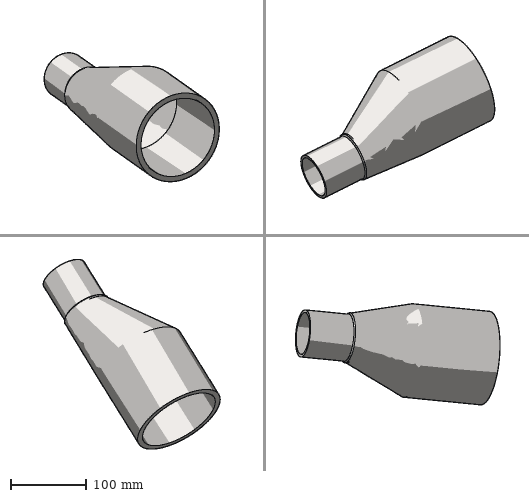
import cadquery as cq

total_length = 265.0
large_diameter = 125.0
large_wall = 7.5
small_diameter = 63.0
small_wall = 3.7
collar_diameter = 67.0

small_spigot_end = 60.7
collar_start = 62.3
cone_start = 64.7
cone_end = 157.5

large_bore = large_diameter - 2 * large_wall
small_bore = small_diameter - 2 * small_wall

small_axis_y = -(large_diameter - collar_diameter) / 2


def tapered_section(x_start, x_end, start_diameter, end_diameter, y_start, y_end):
    """Straight-sided solid between two circles normal to X."""
    return (
        cq.Workplane("YZ", origin=(x_start, 0, 0))
        .center(y_start, 0)
        .circle(start_diameter / 2)
        .workplane(offset=x_end - x_start)
        .center(y_end - y_start, 0)
        .circle(end_diameter / 2)
        .loft(ruled=True)
    )


def straight_section(x_start, x_end, diameter, axis_y):
    """Cylinder parallel to X."""
    return (
        cq.Workplane("YZ", origin=(x_start, 0, 0))
        .center(axis_y, 0)
        .circle(diameter / 2)
        .extrude(x_end - x_start)
    )


small_spigot = straight_section(0, small_spigot_end, small_diameter, small_axis_y)
collar_bevel = tapered_section(
    small_spigot_end, collar_start, small_diameter, collar_diameter, small_axis_y, small_axis_y
)
collar = straight_section(collar_start, cone_start, collar_diameter, small_axis_y)
cone = tapered_section(cone_start, cone_end, collar_diameter, large_diameter, small_axis_y, 0)
large_spigot = straight_section(cone_end, total_length, large_diameter, 0)
body = small_spigot.union(collar_bevel).union(collar).union(cone).union(large_spigot)

small_passage = straight_section(0, cone_start, small_bore, small_axis_y)
cone_passage = tapered_section(cone_start, cone_end, small_bore, large_bore, small_axis_y, 0)
large_passage = straight_section(cone_end, total_length, large_bore, 0)

result = body.cut(small_passage).cut(cone_passage).cut(large_passage)